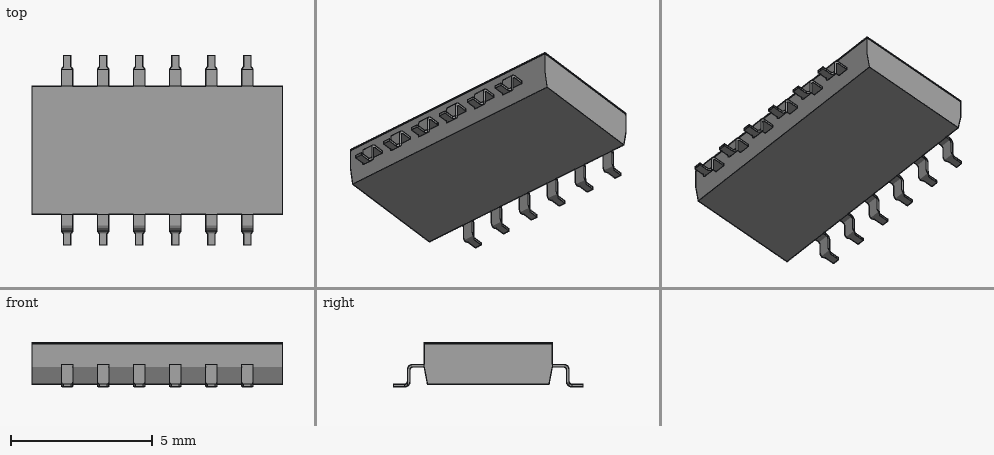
import cadquery as cq

LENGTH = 8.85
SPAN = 6.7
HEIGHT = 1.57

BODY_WIDTH = 4.52
STANDOFF = 0.09
PARTING_HEIGHT = 0.7
UNDERSIDE_INSET = 0.115
COVER_THICKNESS = 0.05

LEADS_PER_SIDE = 6
LEAD_ROW_LENGTH = 6.35
LEAD_THICKNESS = 0.1
LEAD_WIDTH = 0.41
FOOT_WIDTH = 0.265
LEG_TO_TIP = 0.5
INNER_BEND = 0.1

LEAD_PITCH = LEAD_ROW_LENGTH / (LEADS_PER_SIDE - 1)
OUTER_BEND = INNER_BEND + LEAD_THICKNESS
HOUSING_TOP = HEIGHT - COVER_THICKNESS
HALF_BODY = BODY_WIDTH / 2
HALF_SPAN = SPAN / 2
LEG_OUTER = HALF_SPAN - LEG_TO_TIP
LEG_INNER = LEG_OUTER - LEAD_THICKNESS
BEND_END = LEG_OUTER + INNER_BEND
SHOULDER_TOP = PARTING_HEIGHT + LEAD_THICKNESS


def make_housing_block():
    """Rectangular block whose two long side walls draw inward below the parting line."""
    half_underside = HALF_BODY - UNDERSIDE_INSET
    return (
        cq.Workplane("YZ")
        .moveTo(-half_underside, STANDOFF)
        .lineTo(half_underside, STANDOFF)
        .lineTo(HALF_BODY, PARTING_HEIGHT)
        .lineTo(HALF_BODY, HOUSING_TOP)
        .lineTo(-HALF_BODY, HOUSING_TOP)
        .lineTo(-HALF_BODY, PARTING_HEIGHT)
        .close()
        .extrude(LENGTH / 2, both=True)
    )


def make_bent_strip():
    """Full-width strip bent out, down and out again, on the +Y side at X = 0."""
    return (
        cq.Workplane("YZ")
        .moveTo(HALF_BODY, SHOULDER_TOP)
        .lineTo(LEG_OUTER - OUTER_BEND, SHOULDER_TOP)
        .radiusArc((LEG_OUTER, SHOULDER_TOP - OUTER_BEND), OUTER_BEND)
        .lineTo(LEG_OUTER, OUTER_BEND)
        .radiusArc((BEND_END, LEAD_THICKNESS), -INNER_BEND)
        .lineTo(HALF_SPAN, LEAD_THICKNESS)
        .lineTo(HALF_SPAN, 0)
        .lineTo(BEND_END, 0)
        .radiusArc((LEG_INNER, OUTER_BEND), OUTER_BEND)
        .lineTo(LEG_INNER, SHOULDER_TOP - OUTER_BEND)
        .radiusArc((LEG_OUTER - OUTER_BEND, PARTING_HEIGHT), -INNER_BEND)
        .lineTo(HALF_BODY, PARTING_HEIGHT)
        .close()
        .extrude(LEAD_WIDTH / 2, both=True)
    )


def make_lead_outline():
    """Upright prism with the lead's plan shape, narrowing across the lower bend to the foot."""
    half_lead = LEAD_WIDTH / 2
    half_foot = FOOT_WIDTH / 2
    return (
        cq.Workplane("XY")
        .moveTo(-half_lead, HALF_BODY)
        .lineTo(half_lead, HALF_BODY)
        .lineTo(half_lead, LEG_OUTER)
        .lineTo(half_foot, BEND_END)
        .lineTo(half_foot, HALF_SPAN)
        .lineTo(-half_foot, HALF_SPAN)
        .lineTo(-half_foot, BEND_END)
        .lineTo(-half_lead, LEG_OUTER)
        .close()
        .extrude(SHOULDER_TOP)
    )


def make_housing():
    """Housing block with both rows of leads as one solid."""
    housing = make_housing_block()
    far_lead = make_bent_strip().intersect(make_lead_outline())
    near_lead = far_lead.mirror("XZ")
    for index in range(LEADS_PER_SIDE):
        x = (index - (LEADS_PER_SIDE - 1) / 2) * LEAD_PITCH
        for lead in (far_lead, near_lead):
            housing = housing.union(lead.translate((x, 0, 0)))
    return housing


def make_cover():
    """Thin flat plate lying over the whole top of the housing."""
    return (
        cq.Workplane("XY")
        .workplane(offset=HOUSING_TOP)
        .rect(LENGTH, BODY_WIDTH)
        .extrude(COVER_THICKNESS)
    )


housing = make_housing()
cover = make_cover()

result = cq.Compound.makeCompound([housing.solids().val(), cover.val()])